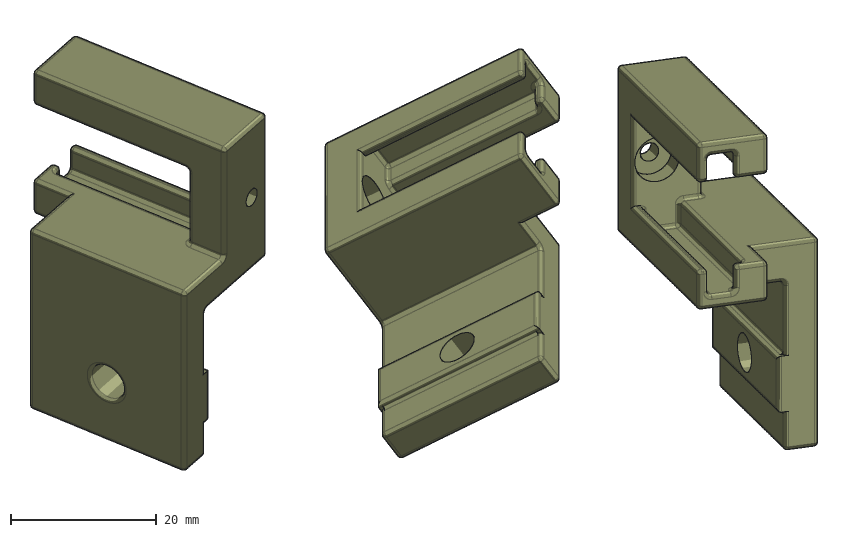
import cadquery as cq
length = 32.0
depth = 19.95
height = 49.6
edge_radius = 0.6
pick_margin = 0.05

frame_depth = 10.25
frame_height = 24.6
arm_thickness = 5.85
wall_thickness = 6.0
frame_front = depth - frame_depth
frame_bottom = height - frame_height
frame_middle = height - frame_height / 2
wall_face = length - wall_thickness
foot_top = frame_bottom + arm_thickness

pocket_width = 5.5
slot_width = 4.0
pocket_lip = 1.45
pocket_skin = 2.0
pocket_back = depth - pocket_lip

plate_width = 26.0
plate_thickness = 5.0
plate_left = length - plate_width
pad_rise = 1.05
pad_height = 8.3
pad_root_radius = 0.45

plate_hole_height = 9.95
plate_hole_diameter = 5.5
mouth_radius = 0.5
wall_hole_inset = 3.65
wall_hole_diameter = 2.7
wall_recess_diameter = 6.5
wall_recess_depth = 3.0


def block(x, y, z):
    """Box spanning the (low, high) limits given along each axis."""
    size = [high - low for low, high in (x, y, z)]
    return cq.Workplane().box(*size, centered=False).translate((x[0], y[0], z[0]))


def make_frame():
    frame = block((0, length), (frame_front, depth), (frame_bottom, height))
    opening = block((0, wall_face), (frame_front, depth), (foot_top, height - arm_thickness))
    hollow_z = (frame_bottom + pocket_skin, height - pocket_skin)
    pocket = block((pocket_lip, wall_face), (pocket_back - pocket_width, pocket_back), hollow_z)
    slot = block((0, wall_face), (pocket_back - slot_width, pocket_back), hollow_z)
    return frame.cut(opening).cut(pocket).cut(slot)


def make_mount():
    """Foot reaching forward from the frame, with the plate below it."""
    plate_x = (plate_left, length)
    foot = block(plate_x, (0, frame_front), (frame_bottom, foot_top))
    plate = block(plate_x, (0, plate_thickness), (0, frame_bottom))
    return foot.union(plate)


def round_edges(body):
    """Round every edge except the frame-to-foot step and where the rear lips meet the wall."""
    arm_bottom = height - arm_thickness
    sharp_edges = [
        ((plate_left, frame_front, frame_bottom), (plate_left, frame_front, foot_top)),
        ((wall_face, pocket_back, foot_top), (wall_face, depth, foot_top)),
        ((wall_face, pocket_back, arm_bottom), (wall_face, depth, arm_bottom)),
        ((wall_face, pocket_back, arm_bottom), (wall_face, pocket_back, height - pocket_skin)),
    ]
    rounded = body.edges()
    for start, end in sharp_edges:
        middle = cq.Vector(*start).add(cq.Vector(*end)).multiply(0.5).toTuple()
        low = [value - pick_margin for value in middle]
        high = [value + pick_margin for value in middle]
        at_middle = cq.selectors.BoxSelector(low, high)
        rounded = rounded.edges(cq.selectors.InverseSelector(at_middle))
    return rounded.fillet(edge_radius)


def add_pad(body):
    """Raised band across the back of the plate, with a concave blend above and below it."""
    pad_back = plate_thickness + pad_rise
    pad_z = (plate_hole_height - pad_height / 2, plate_hole_height + pad_height / 2)
    pad = block((plate_left, length), (edge_radius, pad_back), pad_z)
    body = body.union(pad.faces(">Y").edges().fillet(edge_radius))

    blend_start = plate_left + edge_radius
    blend_length = plate_width - 2 * edge_radius
    for side, outward in zip(pad_z, (-1, 1)):
        strip = (
            cq.Workplane("YZ", origin=(blend_start, plate_thickness, side))
            .lineTo(pad_root_radius, 0)
            .radiusArc((0, outward * pad_root_radius), outward * pad_root_radius)
            .close()
            .extrude(blend_length)
        )
        body = body.union(strip)
    return body


def cut_plate_hole(body):
    """Through hole in the plate with a rounded mouth at the front."""
    face = cq.Workplane("XZ", origin=(plate_left + plate_width / 2, 0, plate_hole_height))
    body = body.cut(face.circle(plate_hole_diameter / 2).extrude(-depth))
    return body.faces("<Y").edges("%CIRCLE").fillet(mouth_radius)


def cut_wall_hole(body):
    """Through hole in the wall, recessed from the opening side."""
    face = cq.Workplane("YZ", origin=(wall_face, depth - wall_hole_inset, frame_middle))
    bore = face.circle(wall_hole_diameter / 2).extrude(wall_thickness)
    recess = face.circle(wall_recess_diameter / 2).extrude(wall_recess_depth)
    return body.cut(bore).cut(recess)


result = round_edges(make_frame().union(make_mount()).clean())
result = add_pad(result)
result = cut_plate_hole(result)
result = cut_wall_hole(result)